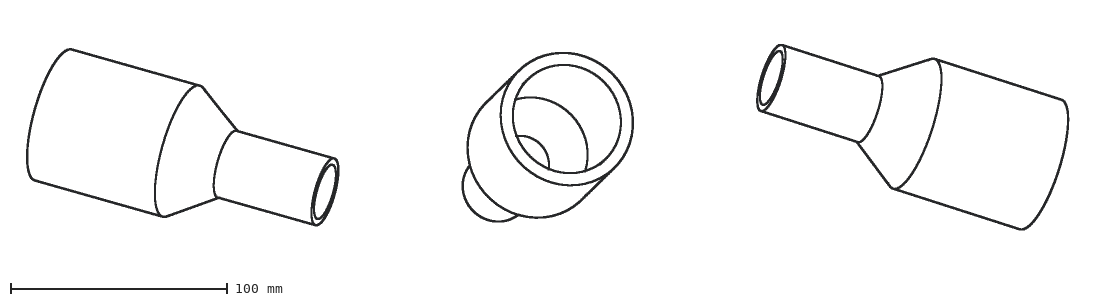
import cadquery as cq

total_length = 136.0
large_length = 64.0
small_length = 49.0
large_outer_diameter = 63.0
large_bore_diameter = 51.4
small_outer_diameter = 32.1
small_bore_diameter = 26.0

cone_end = total_length - small_length


def stepped_cone(large_diameter, small_diameter):
    """Solid of revolution: large cylinder, cone, small cylinder."""
    large_radius = large_diameter / 2
    small_radius = small_diameter / 2
    return (
        cq.Workplane("XY")
        .moveTo(0, 0)
        .lineTo(0, large_radius)
        .lineTo(large_length, large_radius)
        .lineTo(cone_end, small_radius)
        .lineTo(total_length, small_radius)
        .lineTo(total_length, 0)
        .close()
        .revolve(360, (0, 0, 0), (1, 0, 0))
    )


body = stepped_cone(large_outer_diameter, small_outer_diameter)
bore = stepped_cone(large_bore_diameter, small_bore_diameter)

result = body.cut(bore)